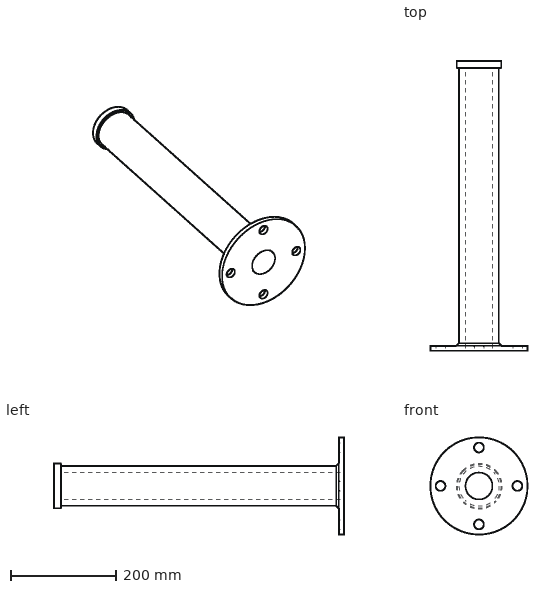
import cadquery as cq

OVERALL_LENGTH = 550.0

FLANGE_DIAMETER = 185.0
FLANGE_THICKNESS = 10.0
TUBE_DIAMETER = 76.0
BORE_DIAMETER = 51.0
WELD_DIAMETER = 86.5

HOLE_COUNT = 4
HOLE_DIAMETER = 18.0
HOLE_CIRCLE_DIAMETER = 146.0

CAP_DIAMETER = 85.0
CAP_THICKNESS = 14.0
CAP_CHAMFER = 1.0

TUBE_END = OVERALL_LENGTH - CAP_THICKNESS


def plane_at(y):
    """XZ plane at distance y along the post, with its normal along +Y."""
    return cq.Plane(origin=(0, y, 0), xDir=(1, 0, 0), normal=(0, 1, 0))


def make_flanged_tube():
    """Round tube on a bolt flange, with a 45 degree weld cone between them and an open bore."""
    flange_radius = FLANGE_DIAMETER / 2
    tube_radius = TUBE_DIAMETER / 2
    weld_leg = (WELD_DIAMETER - TUBE_DIAMETER) / 2
    bore_radius = BORE_DIAMETER / 2
    half_section = [
        (bore_radius, 0),
        (flange_radius, 0),
        (flange_radius, FLANGE_THICKNESS),
        (tube_radius + weld_leg, FLANGE_THICKNESS),
        (tube_radius, FLANGE_THICKNESS + weld_leg),
        (tube_radius, TUBE_END),
        (bore_radius, TUBE_END),
    ]
    body = cq.Workplane("XY").polyline(half_section).close().revolve(360, (0, 0), (0, 1))
    mounting_holes = (
        cq.Workplane(plane_at(0))
        .polarArray(HOLE_CIRCLE_DIAMETER / 2, 0, 360, HOLE_COUNT)
        .circle(HOLE_DIAMETER / 2)
        .extrude(FLANGE_THICKNESS)
    )
    return body.cut(mounting_holes)


def make_end_cap():
    """Disc that closes the far end of the tube, chamfered on the rim facing the flange."""
    disc = cq.Workplane(plane_at(TUBE_END)).circle(CAP_DIAMETER / 2).extrude(CAP_THICKNESS)
    return disc.faces("<Y").chamfer(CAP_CHAMFER)


flanged_tube = make_flanged_tube()
end_cap = make_end_cap()

result = cq.Compound.makeCompound([flanged_tube.val(), end_cap.val()])